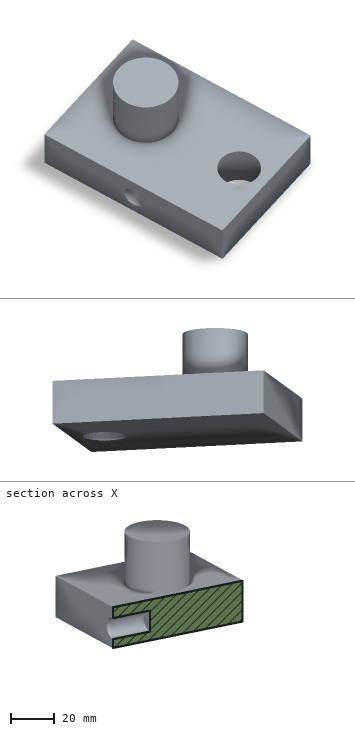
import cadquery as cq

plate_length = 100
plate_width = 70
plate_height = 20

boss_diameter = 30
boss_height = 25
boss_x = -17.8

through_hole_diameter = 20
through_hole_x = 34.6

side_hole_diameter = 10
side_hole_depth = 20
side_hole_z = 9.5

plate = cq.Workplane("XY").box(plate_length, plate_width, plate_height, centered=(True, True, False))

boss = (
    cq.Workplane("XY", origin=(boss_x, 0, plate_height))
    .circle(boss_diameter / 2)
    .extrude(boss_height)
)

through_hole = (
    cq.Workplane("XY", origin=(through_hole_x, 0, 0))
    .circle(through_hole_diameter / 2)
    .extrude(plate_height)
)

side_hole = (
    cq.Workplane("XZ", origin=(0, -plate_width / 2, side_hole_z))
    .circle(side_hole_diameter / 2)
    .extrude(-side_hole_depth)
)

result = plate.union(boss).cut(through_hole).cut(side_hole)